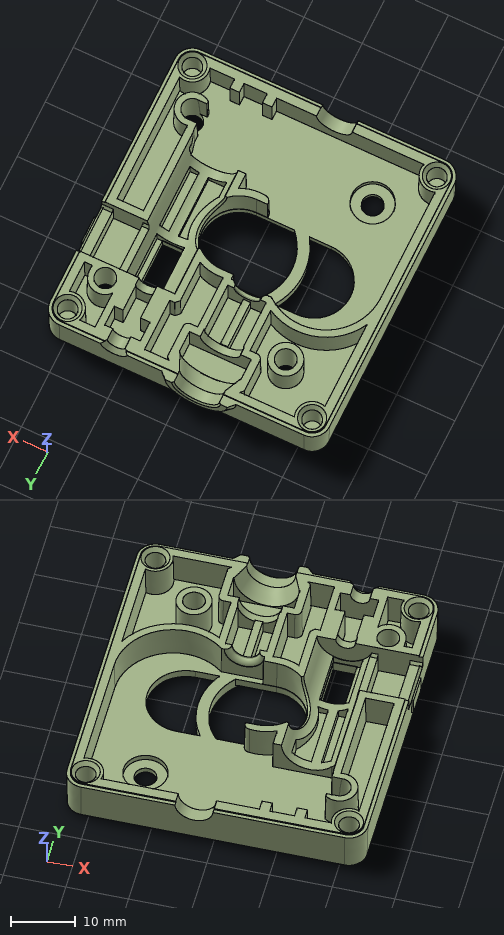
import cadquery as cq
import math


LEFT, RIGHT = -26.4, 21.6
FRONT, BACK = -25.0, 25.5
HEIGHT = 7.5
LIP_HEIGHT = 0.25
LIP_INSET = 0.6
RIM_Z = HEIGHT - LIP_HEIGHT
CORNER_RADIUS = 3.0
BOTTOM_CHAMFER = 0.45
DRAFT = 1.0
FLOOR = 2.0
SIDE_WALL = 2.05
BACK_WALL = 2.0
FRONT_WALL = 2.2
INNER_LEFT = LEFT + SIDE_WALL
INNER_RIGHT = RIGHT - SIDE_WALL
INNER_FRONT = FRONT + FRONT_WALL
INNER_BACK = BACK - BACK_WALL
CLEARANCE = 1.0

POST_INSET = 3.0
POST_RADIUS = 2.75
POST_HOLE_RADIUS = 1.6
POST_SINK = 0.65
POST_LEFT, POST_RIGHT = LEFT + POST_INSET, RIGHT - POST_INSET
POST_FRONT, POST_BACK = FRONT + POST_INSET, BACK - POST_INSET

MOTOR_HOLE = 15.5
MOTOR_HOLE_RADIUS = 1.75
MOTOR_BOSS_RADIUS = 2.8
COUNTERBORE_RADIUS = 3.5
COUNTERBORE_FLOOR = 1.0
BOSS_MOUTH_X = 13.8

GEAR_X = -15.0
GEAR_RADIUS = 9.35
GEAR_WALL_RADIUS = 10.55
PINION_RADIUS = 6.35
PINION_WALL_RADIUS = 7.6
PINION_ARM_X = -1.85
ARM_ROUNDING = 1.0
EXIT_WALL_Y = 7.2
EXIT_WALL_END_X = -2.15
SLOT_RADIUS = 6.2
SLOT_LEFT_X = -12.9
SLOT_CHAMFER = 0.5
WEB_INNER_RADIUS, WEB_OUTER_RADIUS = 9.0, 11.0

BORE_X = -5.4
BORE_RADIUS = 2.25
LUG_LENGTH = 1.04
LUG_RADIUS = 5.35
LUG_ROOT_RADIUS = LUG_RADIUS + LUG_LENGTH
MOUTH_RADIUS = 3.9
MOUTH_CHAMFER = 0.3
MOUTH_INNER_Y = 24.3
COUPLING_FRONT, COUPLING_BACK = 17.85, 21.5
COUPLING_HALF = 5.3
COUPLING_FLOOR = HEIGHT - COUPLING_HALF
CONE_RADIUS = 5.2
COLLAR_RADIUS = 3.45
TUBE_FRONT, TUBE_BACK = 8.35, 16.5
TUBE_HALF = 3.3
TUBE_RIB = 1.25
TUBE_RIB_RADIUS = 3.1
EXIT_FLARE = 0.95
INLET_RADIUS = 3.05
COUPLING_SHELL_HALF = 6.6
TUBE_SHELL_HALF = 4.5
SHELL_STEP_Y = 16.6
SHELL_ROUNDING = 0.9
SHELL_CHAMFER = 0.5

TROUGH_X = 9.2
TROUGH_RADIUS = 4.5
TROUGH_FRONT, TROUGH_BACK = -9.45, 13.2
TROUGH_LEFT_WALL = 3.35
TROUGH_RIGHT_WALL = 15.0
TROUGH_TAIL = -13.75
TROUGH_EDGE_CHAMFER = 0.55
TROUGH_MID = 4.2
TROUGH_CORNER_X = 12.8
TROUGH_TAIL_X = 13.4
TROUGH_NECK_BACK, TROUGH_NECK_FRONT = -11.0, -12.6
RELIEF_FRONT, RELIEF_BACK = -8.0, 2.9
RELIEF_LEFT, RELIEF_RIB_LEFT, RELIEF_RIB_RIGHT, RELIEF_RIGHT = 5.9, 9.15, 10.6, 12.3
RELIEF_RING_RADIUS = 8.0
WINDOW_LEFT, WINDOW_RIGHT, WINDOW_LEDGE = 7.25, 11.1, 12.1
SADDLE_Z = 5.5
SADDLE_CHAMFER = 0.45
LEVER_POCKET_LEFT = 14.45

SCREW_X = 9.25
SCREW_RADIUS = 1.55
SCREW_MOUTH_RADIUS = 2.3
SCREW_MOUTH_DEPTH = 0.95
NUT_LEFT, NUT_RIGHT, NUT_FRONT, NUT_BACK = 6.1, 12.2, 19.1, 22.55
KEY_LEFT, KEY_RIGHT, KEY_FRONT = 7.7, 10.7, 14.55

BACK_POCKET_FRONT = 14.5
SCREW_POCKET_RIGHT = 4.9
SCREW_POCKET_NECK = 3.4
SCREW_POCKET_CHAMFER = 0.65
CORNER_POCKET_LEFT = 13.4
CORNER_POCKET_NECK = 18.25
TAB_LEFTS = (4.5, 10.1)
TAB_WIDTH = 1.65
TAB_LENGTH = 1.65

PAD_THICKNESS = 0.25
PAD_FRONT, PAD_BACK = 6.3, 10.9
PAD_BOTTOM, PAD_TOP = 2.0, 5.0


def box(x0, x1, y0, y1, z0, z1):
    """Axis-aligned block between two corners."""
    return cq.Workplane("XY").box(x1 - x0, y1 - y0, z1 - z0, centered=False).translate((x0, y0, z0))


def upright(x, y, radius, z0, z1):
    """Vertical cylinder."""
    return cq.Workplane("XY", origin=(x, y, z0)).circle(radius).extrude(z1 - z0)


def lengthwise(x, y0, y1, radius0, radius1=None):
    """Cylinder or cone along Y, centred on the top plane of the housing."""
    start, along = cq.Vector(x, y0, HEIGHT), cq.Vector(0, 1, 0)
    if radius1 is None:
        return cq.Workplane(cq.Solid.makeCylinder(radius0, y1 - y0, start, along))
    return cq.Workplane(cq.Solid.makeCone(radius0, radius1, y1 - y0, start, along))


def reach(radius, offset):
    """Half chord of a circle at a given distance from its centre."""
    return math.sqrt(radius ** 2 - offset ** 2)


def arc_to(sketch, center, start, end, large=False):
    """Continue an outline along a circle; `large` takes the way round longer than half a turn."""
    cx, cy = center
    radius = math.dist(center, start)
    dx = start[0] + end[0] - 2 * cx
    dy = start[1] + end[1] - 2 * cy
    scale = radius / math.hypot(dx, dy)
    if large:
        scale = -scale
    return sketch.threePointArc((cx + dx * scale, cy + dy * scale), end)


def pocket(outline):
    """Closed outline on the top plane, sunk to the floor with draft."""
    return outline.close().extrude(FLOOR - HEIGHT, taper=DRAFT)


def drafted_pocket(x0, x1, y0, y1):
    """Rectangular pocket measured on the top plane, sunk to the floor with draft."""
    outline = cq.Workplane("XY", origin=(0, 0, HEIGHT)).moveTo(x0, y0)
    return pocket(outline.lineTo(x1, y0).lineTo(x1, y1).lineTo(x0, y1))


def make_body():
    """Drafted block with its raised lip, the filament lug and the side pad."""
    width, depth = RIGHT - LEFT, BACK - FRONT
    center = ((LEFT + RIGHT) / 2, (FRONT + BACK) / 2)
    shell = (
        cq.Workplane("XY", origin=(*center, RIM_Z))
        .sketch().rect(width, depth).vertices().fillet(CORNER_RADIUS).finalize()
        .extrude(-RIM_Z, taper=DRAFT)
        .faces("<Z").edges().chamfer(BOTTOM_CHAMFER)
    )
    lip = (
        cq.Workplane("XY", origin=(*center, RIM_Z))
        .sketch().rect(width - 2 * LIP_INSET, depth - 2 * LIP_INSET)
        .vertices().fillet(CORNER_RADIUS - LIP_INSET).finalize()
        .extrude(LIP_HEIGHT)
    )
    lug_cone = lengthwise(BORE_X, BACK - LUG_LENGTH, BACK + LUG_LENGTH,
                          LUG_ROOT_RADIUS + LUG_LENGTH, LUG_RADIUS)
    lug = lug_cone.intersect(box(LEFT, RIGHT, 0, BACK + LUG_LENGTH, 0, RIM_Z))
    pad = box(INNER_RIGHT, RIGHT + PAD_THICKNESS, PAD_FRONT, PAD_BACK, PAD_BOTTOM, PAD_TOP)
    return shell.union(lip).union(lug).union(pad)


def main_cavity():
    """Gear chamber, open floor and the long pocket behind the idler trough, as one outline."""
    gear, pinion = (GEAR_X, 0), (0, 0)
    boss = (MOTOR_HOLE, -MOTOR_HOLE)
    post_left, post_right = (POST_LEFT, POST_FRONT), (POST_RIGHT, POST_FRONT)

    gear_start = (GEAR_X - GEAR_RADIUS, 0)
    gear_end = (GEAR_X + reach(GEAR_RADIUS, EXIT_WALL_Y), EXIT_WALL_Y)
    pinion_start = (0, PINION_RADIUS)
    pinion_end = (0, -PINION_RADIUS)
    arm_outer_x = PINION_ARM_X + ARM_ROUNDING
    arm_outer = (arm_outer_x, -reach(PINION_WALL_RADIUS, arm_outer_x))
    arm_tip = (PINION_ARM_X, arm_outer[1] + ARM_ROUNDING)
    arm_root = (TROUGH_LEFT_WALL, -reach(PINION_WALL_RADIUS, TROUGH_LEFT_WALL))
    slot_top = (MOTOR_HOLE, -MOTOR_HOLE + MOTOR_HOLE_RADIUS)
    slot_bottom = (MOTOR_HOLE, -MOTOR_HOLE - MOTOR_HOLE_RADIUS)
    hook_tip = (BOSS_MOUTH_X, -MOTOR_HOLE - reach(MOTOR_BOSS_RADIUS, MOTOR_HOLE - BOSS_MOUTH_X))
    hook_root = (TROUGH_RIGHT_WALL,
                 -MOTOR_HOLE + reach(MOTOR_BOSS_RADIUS, MOTOR_HOLE - TROUGH_RIGHT_WALL))
    post_rise = reach(POST_RADIUS, INNER_RIGHT - POST_RIGHT)
    post_run = reach(POST_RADIUS, INNER_FRONT - POST_FRONT)
    right_post_start = (INNER_RIGHT, POST_FRONT + post_rise)
    right_post_end = (POST_RIGHT - post_run, INNER_FRONT)
    left_post_start = (POST_LEFT + post_run, INNER_FRONT)
    left_post_end = (INNER_LEFT, POST_FRONT + post_rise)

    outline = cq.Workplane("XY", origin=(0, 0, HEIGHT)).moveTo(*gear_start)
    outline = arc_to(outline, gear, gear_start, gear_end)
    outline = (
        outline.lineTo(EXIT_WALL_END_X, EXIT_WALL_Y)
        .lineTo(EXIT_WALL_END_X, PINION_RADIUS)
        .lineTo(*pinion_start)
    )
    outline = outline.threePointArc((PINION_RADIUS, 0), pinion_end)
    outline = outline.lineTo(PINION_ARM_X, -PINION_RADIUS).lineTo(*arm_tip)
    outline = arc_to(outline, (arm_outer[0], arm_tip[1]), arm_tip, arm_outer)
    outline = arc_to(outline, pinion, arm_outer, arm_root)
    outline = (
        outline.lineTo(TROUGH_LEFT_WALL, TROUGH_FRONT)
        .lineTo(TROUGH_CORNER_X, TROUGH_FRONT)
        .lineTo(TROUGH_TAIL_X, TROUGH_FRONT - (TROUGH_TAIL_X - TROUGH_CORNER_X))
        .lineTo(TROUGH_TAIL_X, TROUGH_NECK_BACK)
        .lineTo(BOSS_MOUTH_X, TROUGH_NECK_FRONT)
        .lineTo(BOSS_MOUTH_X, slot_top[1])
        .lineTo(*slot_top)
    )
    outline = outline.threePointArc((MOTOR_HOLE + MOTOR_HOLE_RADIUS, -MOTOR_HOLE), slot_bottom)
    outline = outline.lineTo(BOSS_MOUTH_X, slot_bottom[1]).lineTo(*hook_tip)
    outline = arc_to(outline, boss, hook_tip, hook_root, large=True)
    outline = (
        outline.lineTo(TROUGH_RIGHT_WALL, RELIEF_BACK)
        .lineTo(INNER_RIGHT, RELIEF_BACK)
        .lineTo(*right_post_start)
    )
    outline = arc_to(outline, post_right, right_post_start, right_post_end)
    outline = outline.lineTo(*left_post_start)
    outline = arc_to(outline, post_left, left_post_start, left_post_end)
    cavity = pocket(outline)
    for tab_left in TAB_LEFTS:
        tab = box(tab_left, tab_left + TAB_WIDTH, INNER_FRONT - CLEARANCE,
                  INNER_FRONT + TAB_LENGTH, 0, HEIGHT)
        cavity = cavity.cut(tab)
    return cavity


def left_pocket():
    """Back left pocket between the gear chamber wall and the coupling housing."""
    gear, post = (GEAR_X, 0), (POST_LEFT, POST_BACK)
    shell_x = BORE_X - COUPLING_SHELL_HALF
    tube_x = BORE_X - TUBE_SHELL_HALF
    post_start = (INNER_LEFT, POST_BACK - reach(POST_RADIUS, INNER_LEFT - POST_LEFT))
    post_end = (POST_LEFT + reach(POST_RADIUS, INNER_BACK - POST_BACK), INNER_BACK)
    wall_start = (tube_x, reach(GEAR_WALL_RADIUS, tube_x - GEAR_X))
    wall_end = (INNER_LEFT, reach(GEAR_WALL_RADIUS, INNER_LEFT - GEAR_X))
    round_start = (shell_x, SHELL_STEP_Y + SHELL_ROUNDING)
    round_end = (shell_x + SHELL_ROUNDING, SHELL_STEP_Y)

    outline = cq.Workplane("XY", origin=(0, 0, HEIGHT)).moveTo(*post_start)
    outline = arc_to(outline, post, post_start, post_end)
    outline = (
        outline.lineTo(shell_x + SHELL_CHAMFER, INNER_BACK)
        .lineTo(shell_x, INNER_BACK - SHELL_CHAMFER)
        .lineTo(*round_start)
    )
    outline = arc_to(outline, (round_end[0], round_start[1]), round_start, round_end)
    outline = outline.lineTo(tube_x, SHELL_STEP_Y).lineTo(*wall_start)
    outline = arc_to(outline, gear, wall_start, wall_end)
    boss = upright(-MOTOR_HOLE, MOTOR_HOLE, MOTOR_BOSS_RADIUS, 0, HEIGHT)
    return pocket(outline).cut(boss)


def middle_pocket():
    """Pocket between the coupling housing and the spring screw seat."""
    shell_x = BORE_X + COUPLING_SHELL_HALF
    tube_x = BORE_X + TUBE_SHELL_HALF
    wall_start = (SCREW_POCKET_NECK, reach(PINION_WALL_RADIUS, SCREW_POCKET_NECK))
    wall_end = (tube_x, reach(PINION_WALL_RADIUS, tube_x))
    round_start = (shell_x - SHELL_ROUNDING, SHELL_STEP_Y)
    round_end = (shell_x, SHELL_STEP_Y + SHELL_ROUNDING)

    outline = (
        cq.Workplane("XY", origin=(0, 0, HEIGHT))
        .moveTo(shell_x - SHELL_CHAMFER, INNER_BACK)
        .lineTo(SCREW_POCKET_RIGHT, INNER_BACK)
        .lineTo(SCREW_POCKET_RIGHT, BACK_POCKET_FRONT)
        .lineTo(SCREW_POCKET_NECK + SCREW_POCKET_CHAMFER, BACK_POCKET_FRONT)
        .lineTo(SCREW_POCKET_NECK, BACK_POCKET_FRONT - SCREW_POCKET_CHAMFER)
        .lineTo(*wall_start)
    )
    outline = arc_to(outline, (0, 0), wall_start, wall_end)
    outline = outline.lineTo(tube_x, SHELL_STEP_Y).lineTo(*round_start)
    outline = arc_to(outline, (round_start[0], round_end[1]), round_start, round_end)
    return pocket(outline.lineTo(shell_x, INNER_BACK - SHELL_CHAMFER))


def corner_pocket():
    """Back right pocket around the corner post and the motor screw boss."""
    post, boss = (POST_RIGHT, POST_BACK), (MOTOR_HOLE, MOTOR_HOLE)
    boss_radius = CORNER_POCKET_NECK - MOTOR_HOLE
    post_start = (POST_RIGHT - reach(POST_RADIUS, INNER_BACK - POST_BACK), INNER_BACK)
    post_end = (INNER_RIGHT, POST_BACK - reach(POST_RADIUS, INNER_RIGHT - POST_RIGHT))
    boss_start = (CORNER_POCKET_NECK, MOTOR_HOLE)
    boss_end = (CORNER_POCKET_LEFT, MOTOR_HOLE + reach(boss_radius, MOTOR_HOLE - CORNER_POCKET_LEFT))

    outline = cq.Workplane("XY", origin=(0, 0, HEIGHT))
    outline = outline.moveTo(CORNER_POCKET_LEFT, INNER_BACK).lineTo(*post_start)
    outline = arc_to(outline, post, post_start, post_end)
    outline = (
        outline.lineTo(INNER_RIGHT, BACK_POCKET_FRONT)
        .lineTo(CORNER_POCKET_NECK, BACK_POCKET_FRONT)
        .lineTo(*boss_start)
    )
    return pocket(arc_to(outline, boss, boss_start, boss_end))


def floor_slot():
    """Rounded opening in the floor, bridged by a curved web."""
    slot = (
        upright(0, 0, SLOT_RADIUS, 0, FLOOR)
        .union(upright(SLOT_LEFT_X, 0, SLOT_RADIUS, 0, FLOOR))
        .union(box(SLOT_LEFT_X, 0, -SLOT_RADIUS, SLOT_RADIUS, 0, FLOOR))
    )
    underside = (
        cq.Workplane("XY").center(SLOT_LEFT_X / 2, 0)
        .slot2D(2 * (SLOT_RADIUS + SLOT_CHAMFER) - SLOT_LEFT_X, 2 * (SLOT_RADIUS + SLOT_CHAMFER))
        .extrude(SLOT_CHAMFER, taper=45)
    )
    slot = slot.union(underside)
    web = upright(0, 0, WEB_OUTER_RADIUS, 0, FLOOR).cut(upright(0, 0, WEB_INNER_RADIUS, 0, FLOOR))
    return slot.cut(web.intersect(box(LEFT, 0, FRONT, BACK, 0, FLOOR)))


def exit_flare():
    """Trumpet-shaped end of the filament bore, opening into the gear chamber."""
    straight_y = EXIT_WALL_Y + EXIT_FLARE
    bend = EXIT_FLARE * (1 - math.sqrt(0.5))
    return (
        cq.Workplane("XY", origin=(BORE_X, 0, HEIGHT))
        .moveTo(0, EXIT_WALL_Y - CLEARANCE)
        .lineTo(BORE_RADIUS + EXIT_FLARE, EXIT_WALL_Y - CLEARANCE)
        .lineTo(BORE_RADIUS + EXIT_FLARE, EXIT_WALL_Y)
        .threePointArc((BORE_RADIUS + bend, EXIT_WALL_Y + bend), (BORE_RADIUS, straight_y))
        .lineTo(BORE_RADIUS, TUBE_FRONT).lineTo(0, TUBE_FRONT).close()
        .revolve(360, (0, 0, 0), (0, 1, 0))
    )


def filament_path():
    """Everything cut along the filament, from the back lug to the front inlet."""
    end = BACK + LUG_LENGTH
    mouth = lengthwise(BORE_X, MOUTH_INNER_Y, end, MOUTH_RADIUS)
    mouth_edge = lengthwise(BORE_X, end - MOUTH_CHAMFER, end, MOUTH_RADIUS, MOUTH_RADIUS + MOUTH_CHAMFER)
    cone = lengthwise(BORE_X, COUPLING_BACK, MOUTH_INNER_Y, CONE_RADIUS, MOUTH_RADIUS)
    coupling = box(BORE_X - COUPLING_HALF, BORE_X + COUPLING_HALF,
                   COUPLING_FRONT, COUPLING_BACK, COUPLING_FLOOR, HEIGHT)
    collar = lengthwise(BORE_X, TUBE_BACK, COUPLING_FRONT, COLLAR_RADIUS)
    tube = box(BORE_X - TUBE_HALF, BORE_X + TUBE_HALF, TUBE_FRONT, TUBE_BACK, FLOOR, HEIGHT)
    rib = box(BORE_X - TUBE_RIB / 2, BORE_X + TUBE_RIB / 2, TUBE_FRONT, TUBE_BACK, FLOOR, HEIGHT)
    rib_saddle = lengthwise(BORE_X, TUBE_FRONT, TUBE_BACK, TUBE_RIB_RADIUS)
    inlet = lengthwise(BORE_X, FRONT, INNER_FRONT + CLEARANCE, INLET_RADIUS)
    return [mouth, mouth_edge, cone, coupling, collar, tube.cut(rib), rib_saddle, exit_flare(), inlet]


def cut_trough(body):
    """Round idler trough, chamfered where it breaks through the wall around the motor gear."""
    body = body.cut(lengthwise(TROUGH_X, TROUGH_TAIL, TROUGH_BACK, TROUGH_RADIUS))
    breakthrough = cq.selectors.BoxSelector(
        (0, -CLEARANCE, HEIGHT - TROUGH_RADIUS),
        (PINION_RADIUS, CLEARANCE, HEIGHT - CLEARANCE),
    )
    return body.edges(breakthrough).chamfer(TROUGH_EDGE_CHAMFER)


def trough_reliefs():
    """Relief pockets and a window in the bottom of the trough."""
    ring = upright(0, 0, RELIEF_RING_RADIUS, 0, HEIGHT)
    left_relief = drafted_pocket(RELIEF_LEFT, RELIEF_RIB_LEFT, RELIEF_FRONT, RELIEF_BACK).cut(ring)
    right_relief = drafted_pocket(RELIEF_RIB_RIGHT, RELIEF_RIGHT, RELIEF_FRONT, RELIEF_BACK)
    ledge = drafted_pocket(WINDOW_LEFT, WINDOW_LEDGE, TROUGH_MID, TROUGH_BACK)
    window = box(WINDOW_LEFT, WINDOW_RIGHT, TROUGH_MID, TROUGH_BACK, 0, FLOOR)
    return [left_relief, right_relief, ledge, window]


def lever_recess():
    """Lowered saddle with sloped ends through the right wall, and the pocket inside it."""
    saddle = (
        box(TROUGH_X, RIGHT + CLEARANCE, TROUGH_MID, TROUGH_BACK, SADDLE_Z, HEIGHT)
        .edges("|X and <Z").chamfer(SADDLE_CHAMFER)
    )
    outer_edge = (
        cq.Workplane("XZ", origin=(0, TROUGH_BACK, 0))
        .moveTo(RIGHT - SADDLE_CHAMFER, SADDLE_Z)
        .lineTo(RIGHT, SADDLE_Z)
        .lineTo(RIGHT, SADDLE_Z - SADDLE_CHAMFER).close()
        .extrude(TROUGH_BACK - TROUGH_MID)
    )
    lever_pocket = box(LEVER_POCKET_LEFT, INNER_RIGHT, TROUGH_MID, TROUGH_BACK, FLOOR, HEIGHT)
    return [saddle, outer_edge, lever_pocket]


def spring_screw_seat():
    """Half-round screw passage, nut pocket and key slot behind the trough."""
    mouth = lengthwise(SCREW_X, BACK - SCREW_MOUTH_DEPTH, BACK, SCREW_RADIUS, SCREW_MOUTH_RADIUS)
    back_passage = lengthwise(SCREW_X, NUT_BACK, BACK, SCREW_RADIUS)
    nut = box(NUT_LEFT, NUT_RIGHT, NUT_FRONT, NUT_BACK, FLOOR, HEIGHT)
    key = box(KEY_LEFT, KEY_RIGHT, KEY_FRONT, NUT_FRONT, FLOOR, HEIGHT)
    front_passage = lengthwise(SCREW_X, TROUGH_BACK, KEY_FRONT, SCREW_RADIUS)
    return [mouth, back_passage, nut, key, front_passage]


def screw_holes():
    """Countersunk blind holes in the posts and through holes for the motor screws."""
    holes = []
    for x in (POST_LEFT, POST_RIGHT):
        for y in (POST_FRONT, POST_BACK):
            holes.append(upright(x, y, POST_HOLE_RADIUS, FLOOR, HEIGHT))
            sink = cq.Solid.makeCone(POST_HOLE_RADIUS, POST_HOLE_RADIUS + POST_SINK, POST_SINK,
                                     cq.Vector(x, y, HEIGHT - POST_SINK))
            holes.append(cq.Workplane(sink))
    for x in (-MOTOR_HOLE, MOTOR_HOLE):
        for y in (-MOTOR_HOLE, MOTOR_HOLE):
            holes.append(upright(x, y, MOTOR_HOLE_RADIUS, 0, HEIGHT))
    holes.append(upright(-MOTOR_HOLE, -MOTOR_HOLE, COUNTERBORE_RADIUS, COUNTERBORE_FLOOR, FLOOR))
    return holes


cuts = [left_pocket(), middle_pocket(), corner_pocket(), floor_slot()]
cuts += filament_path()
cuts += trough_reliefs()
cuts += lever_recess()
cuts += spring_screw_seat()
cuts += screw_holes()

result = cut_trough(make_body().cut(main_cavity()))
for tool in cuts:
    result = result.cut(tool)